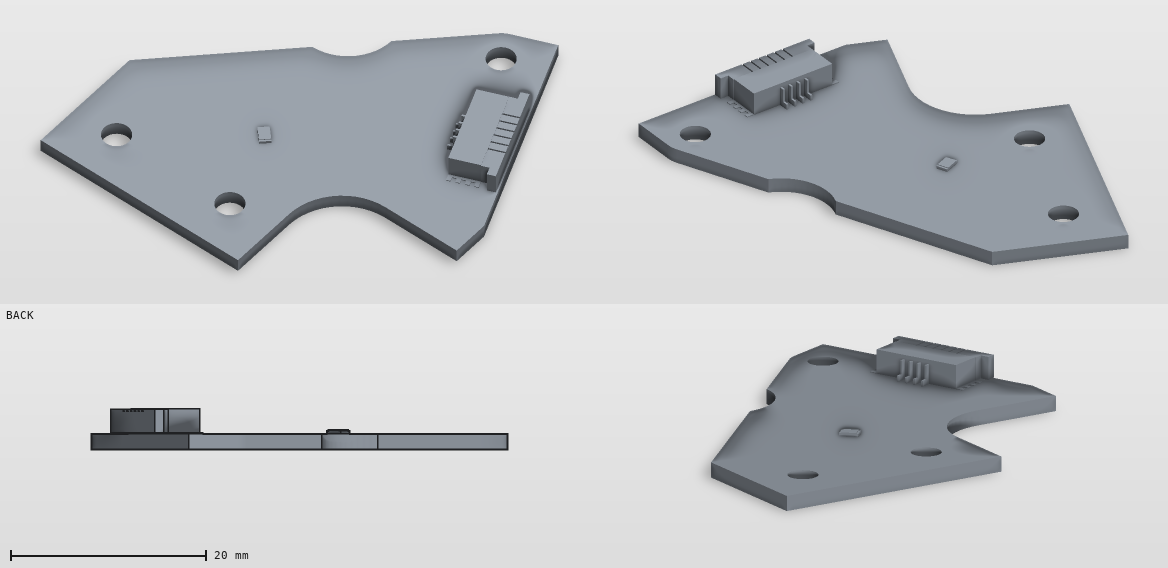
import cadquery as cq
import math

BOARD_LENGTH = 42.5
BOARD_WIDTH = 43.7
BOARD_THICKNESS = 1.6
LEFT_EDGE_HEIGHT = 14.3
FOOT_LENGTH = 26.08
ARM_BOTTOM_Y = 15.2
ARM_TOP_Y = 19.6
INNER_CORNER_RADIUS = 7.0
PEAK_X = 32.55
SHOULDER_X = 27.2
SHOULDER_RADIUS = 3.0
NOTCH_START_X = 13.3
NOTCH_RADIUS = 5.72
HOLE_DIAMETER = 3.2
HOLE_CENTERS = [(5.5, 5.5), (20.5, 5.5), (29.22, 38.53)]

EDGE_ANGLE = math.degrees(math.atan2(BOARD_WIDTH - ARM_TOP_Y, PEAK_X - BOARD_LENGTH))
CONNECTOR_ALONG_EDGE = 10.6
CONNECTOR_INSET = 0.17
CONTACT_PITCH = 1.0
CONNECTOR_HEIGHT = 2.58
BODY_LENGTH = 9.85
BODY_DEPTH = 3.5
NECK_DEPTH = 0.9
NECK_OVERHANG = 0.05
FLANGE_LENGTH = 11.85
FLANGE_DEPTH = 0.95
REAR_STEP = 0.05
CONNECTOR_DEPTH = BODY_DEPTH + NECK_DEPTH + FLANGE_DEPTH

SLOT_COUNT = 6
SLOT_WIDTH = 0.17
SLOT_DEPTH = 0.2

PLATE_THICKNESS = 0.1
PLATE_OVERHANG = 0.85
TOOTH_COUNT = 4
TOOTH_WIDTH = 0.5
TOOTH_LENGTH = 0.52

PIN_COUNT = 4
PIN_WIDTH = 0.2
PIN_STEM_DEPTH = 0.52
PIN_HEIGHT = 2.1
PIN_FOOT_DEPTH = 1.15
PIN_FOOT_HEIGHT = 0.6

CHIP_CENTER = (17.3, 14.95)
CHIP_ANGLE = -45.0
CHIP_LENGTH = 2.0
CHIP_WIDTH = 1.25
CHIP_HEIGHT = 0.4
TERMINAL_LENGTH = 0.2
TERMINAL_HEIGHT = 0.3


def block(x_size, y_size, z_size, x_center=0.0, y_start=0.0, z_start=0.0):
    """Box centred on x_center that grows from y_start and z_start."""
    box = cq.Workplane("XY").box(x_size, y_size, z_size, centered=(True, False, False))
    return box.translate((x_center, y_start, z_start))


def centered_row(count, pitch):
    """Positions of evenly spaced items, centred on zero."""
    return [(i - (count - 1) / 2) * pitch for i in range(count)]


def make_board():
    notch_x = NOTCH_START_X
    notch_y = LEFT_EDGE_HEIGHT + NOTCH_START_X + NOTCH_RADIUS
    shoulder = (SHOULDER_X, LEFT_EDGE_HEIGHT + SHOULDER_X)
    mid_offset = NOTCH_RADIUS * math.sqrt(0.5)
    fillet_x = FOOT_LENGTH + INNER_CORNER_RADIUS
    fillet_y = ARM_BOTTOM_Y - INNER_CORNER_RADIUS
    fillet_mid = INNER_CORNER_RADIUS * math.sqrt(0.5)
    outline = (
        cq.Workplane("XY")
        .lineTo(FOOT_LENGTH, 0)
        .lineTo(FOOT_LENGTH, fillet_y)
        .threePointArc((fillet_x - fillet_mid, fillet_y + fillet_mid), (fillet_x, ARM_BOTTOM_Y))
        .lineTo(BOARD_LENGTH, ARM_BOTTOM_Y)
        .lineTo(BOARD_LENGTH, ARM_TOP_Y)
        .lineTo(PEAK_X, BOARD_WIDTH)
        .lineTo(*shoulder)
        .lineTo(notch_x + NOTCH_RADIUS, notch_y)
        .threePointArc((notch_x + mid_offset, notch_y - mid_offset), (notch_x, notch_y - NOTCH_RADIUS))
        .lineTo(0, LEFT_EDGE_HEIGHT)
        .close()
    )
    holes = cq.Workplane("XY").pushPoints(HOLE_CENTERS).circle(HOLE_DIAMETER / 2).extrude(BOARD_THICKNESS)
    plate = outline.extrude(BOARD_THICKNESS)
    shoulder_edge = cq.selectors.NearestToPointSelector((*shoulder, BOARD_THICKNESS / 2))
    plate = plate.edges("|Z").edges(shoulder_edge).fillet(SHOULDER_RADIUS)
    return plate.cut(holes)


def make_housing():
    """Body, neck and flange standing on the solder plate, with contact slots in the rear top."""
    body_height = CONNECTOR_HEIGHT - PLATE_THICKNESS
    rear_height = body_height - REAR_STEP
    neck_length = BODY_LENGTH + 2 * NECK_OVERHANG
    rear_depth = NECK_DEPTH + FLANGE_DEPTH
    housing = block(BODY_LENGTH, BODY_DEPTH, body_height, z_start=PLATE_THICKNESS)
    housing = housing.union(block(neck_length, rear_depth, rear_height, 0, BODY_DEPTH, PLATE_THICKNESS))
    flange_start = BODY_DEPTH + NECK_DEPTH
    housing = housing.union(block(FLANGE_LENGTH, FLANGE_DEPTH, rear_height, 0, flange_start, PLATE_THICKNESS))
    slot_floor = PLATE_THICKNESS + rear_height - SLOT_DEPTH
    for x in centered_row(SLOT_COUNT, CONTACT_PITCH):
        housing = housing.cut(block(SLOT_WIDTH, rear_depth, SLOT_DEPTH, x, BODY_DEPTH, slot_floor))
    return housing


def make_solder_plate():
    """Thin plate under the body with a row of teeth at each end."""
    root_length = BODY_LENGTH + 2 * (PLATE_OVERHANG - TOOTH_LENGTH)
    tip_length = BODY_LENGTH + 2 * PLATE_OVERHANG
    plate = block(root_length, BODY_DEPTH, PLATE_THICKNESS)
    tooth_pitch = (BODY_DEPTH - TOOTH_WIDTH) / (TOOTH_COUNT - 1)
    for i in range(TOOTH_COUNT):
        plate = plate.union(block(tip_length, TOOTH_WIDTH, PLATE_THICKNESS, y_start=i * tooth_pitch))
    return plate


def make_pin(x):
    """L-shaped contact on the body's front face."""
    stem = block(PIN_WIDTH, PIN_STEM_DEPTH, PIN_HEIGHT, x, -PIN_STEM_DEPTH)
    foot = block(PIN_WIDTH, PIN_FOOT_DEPTH, PIN_FOOT_HEIGHT, x, -PIN_FOOT_DEPTH)
    return stem.union(foot)


def make_connector():
    connector = make_housing().union(make_solder_plate())
    for x in centered_row(PIN_COUNT, CONTACT_PITCH):
        connector = connector.union(make_pin(x))
    turn = EDGE_ANGLE - 180
    from_corner = (-CONNECTOR_ALONG_EDGE, -CONNECTOR_INSET - CONNECTOR_DEPTH, BOARD_THICKNESS)
    connector = connector.translate(from_corner)
    connector = connector.rotate((0, 0, 0), (0, 0, 1), turn)
    return connector.translate((BOARD_LENGTH, ARM_TOP_Y, 0))


def make_chip():
    """Taller middle between two lower end terminals."""
    middle_length = CHIP_LENGTH - 2 * TERMINAL_LENGTH
    chip = block(CHIP_LENGTH, CHIP_WIDTH, TERMINAL_HEIGHT, y_start=-CHIP_WIDTH / 2)
    chip = chip.union(block(middle_length, CHIP_WIDTH, CHIP_HEIGHT, y_start=-CHIP_WIDTH / 2))
    chip = chip.rotate((0, 0, 0), (0, 0, 1), CHIP_ANGLE)
    return chip.translate((*CHIP_CENTER, BOARD_THICKNESS))


board = make_board()
connector = make_connector()
chip = make_chip()

result = cq.Compound.makeCompound([board.val(), connector.val(), chip.val()])